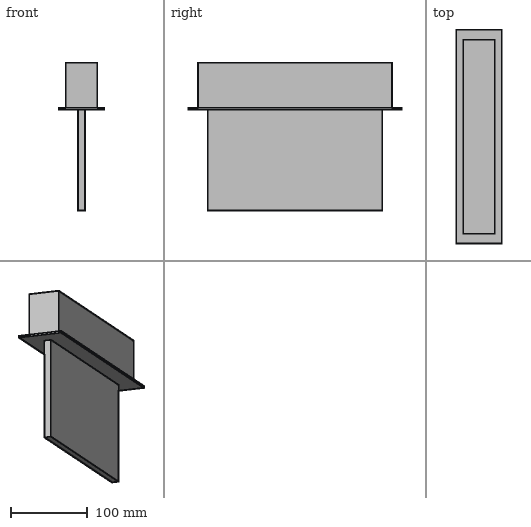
import cadquery as cq

flange_width = 59.7
flange_length = 279.0
flange_thickness = 2.5

housing_width = 41.5
housing_length = 253.0
housing_height = 59.0

total_height = 193.0
blade_thickness = 9.5
blade_length = 228.0
blade_height = total_height - housing_height - flange_thickness


def centred_block(width, length, height, bottom):
    """Block centred on the Z axis, rising from the given height."""
    block = cq.Workplane("XY").box(width, length, height, centered=(True, True, False))
    return block.translate((0, 0, bottom))


flange = centred_block(flange_width, flange_length, flange_thickness, 0)
housing = centred_block(housing_width, housing_length, housing_height, flange_thickness)
blade = centred_block(blade_thickness, blade_length, blade_height, -blade_height)

result = flange.union(housing).union(blade)